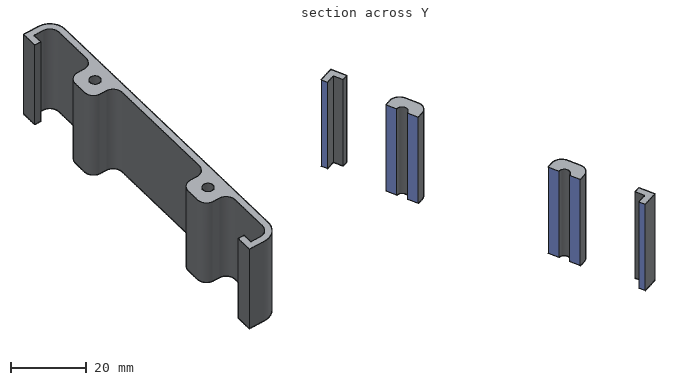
import cadquery as cq

length = 100.0
depth = 10.0
height = 30.0
wall = 2.0

corner_radius = 5.0
lip_length = 5.0

boss_spacing = 50.0
boss_width = 10.0
boss_tip_radius = 3.0
boss_root_radius = 3.0
hole_diameter = 3.2
hole_depth_from_back = 5.0

front_y = -depth / 2
back_y = depth / 2
inner_y = back_y - wall
boss_centers = (-boss_spacing / 2, boss_spacing / 2)


def block(x_center, width, y_min, y_max):
    """Full-height block spanning a width in X and a range in Y."""
    return (
        cq.Workplane("XY", origin=(0, 0, -height / 2))
        .center(x_center, (y_min + y_max) / 2)
        .rect(width, y_max - y_min)
        .extrude(height)
    )


def channel():
    """C-shaped rail: back plate, rounded ends and inward front lips."""
    outer = block(0, length, front_y, back_y).edges("|Z and >Y").fillet(corner_radius)
    cavity = block(0, length - 2 * wall, front_y + wall, inner_y)
    cavity = cavity.edges("|Z and >Y").fillet(corner_radius - wall)
    opening = block(0, length - 2 * lip_length, front_y, front_y + wall)
    return outer.cut(cavity).cut(opening)


def boss(x_center):
    """Screw boss with rounded front corners and flared roots at the plate."""
    body = block(x_center, boss_width, front_y, inner_y).edges("|Z and <Y").fillet(boss_tip_radius)
    flare_width = boss_width + 2 * boss_root_radius
    flare = block(x_center, flare_width, inner_y - boss_root_radius, inner_y)
    for side in (-1, 1):
        root_relief = (
            cq.Workplane("XY", origin=(0, 0, -height / 2))
            .center(x_center + side * flare_width / 2, inner_y - boss_root_radius)
            .circle(boss_root_radius)
            .extrude(height)
        )
        flare = flare.cut(root_relief)
    return body.union(flare)


result = channel()
for boss_x in boss_centers:
    result = result.union(boss(boss_x))

screw_holes = (
    cq.Workplane("XY", origin=(0, 0, -height / 2))
    .pushPoints([(boss_x, back_y - hole_depth_from_back) for boss_x in boss_centers])
    .circle(hole_diameter / 2)
    .extrude(height)
)
result = result.cut(screw_holes)